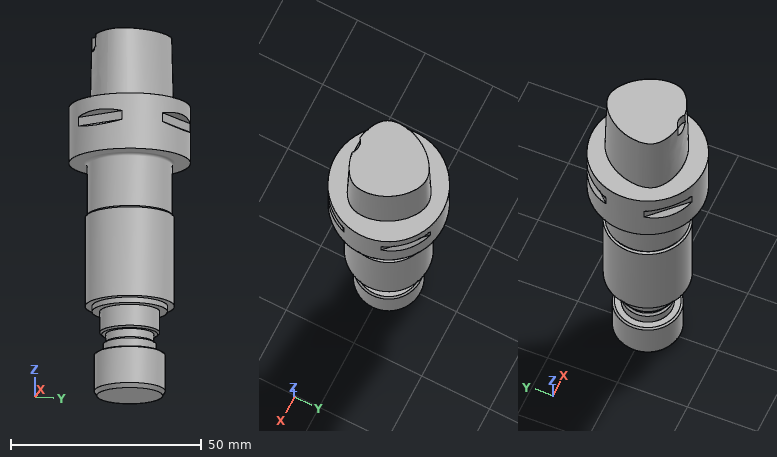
import cadquery as cq
import math


SHANK_HEIGHT = 19.0
SHANK_BASE_WIDTH = 22.0
SHANK_TAPER = 1 / 20
SHANK_TOP_WIDTH = SHANK_BASE_WIDTH - SHANK_TAPER * SHANK_HEIGHT
LOBE_OFFSET = 0.7
LOBE_ANGLES = (90, 210, 330)
LOBE_HALF_SPAN = 24.0
LOBE_TO_FLANK = 60.0
FLANK_HALF_SPAN = LOBE_TO_FLANK - LOBE_HALF_SPAN
POINTS_PER_STRETCH = 9

NOTCH_RADIUS = 3.4
NOTCH_FLOOR_Y = -8.8
NOTCH_DEPTH = 3.25
NOTCH_CONE_SLOPE = 40.0

FLANGE_DIAMETER = 32.0
FLANGE_HEIGHT = 15.0
SLOT_Z = -5.93
SLOT_FLOOR_RADIUS = 14.48
SLOT_FLOOR_WIDTH = 2.35
SLOT_SIDE_ANGLE = 30.0
SLOT_ANGLES = (45, 135, 225, 315)

NECK_DIAMETER = 22.45
NECK_BOTTOM = -29.8
NECK_FILLET = 0.8
NECK_CHAMFER = 0.5
BODY_DIAMETER = 23.5
BODY_BOTTOM = -53.8
COLLAR_DIAMETER = 19.9
COLLAR_BOTTOM = -55.25
SPINDLE_DIAMETER = 15.77
SPINDLE_BOTTOM = -61.4
SPINDLE_CHAMFER = 0.5
GROOVE_DIAMETER = 12.7
GROOVE_BOTTOM = -63.6
LIP_DIAMETER = 13.99
LIP_CHAMFER = (LIP_DIAMETER - GROOVE_DIAMETER) / 2
LIP_CHAMFER_HEIGHT = 0.5
LIP_BOTTOM = -66.7

NUT_DIAMETER = 18.7
NUT_BOTTOM = -78.0
NUT_TOP_CHAMFER_HEIGHT = 0.35
NUT_TOP_CHAMFER = 0.6
NUT_BOTTOM_CHAMFER_HEIGHT = 1.2
NUT_BOTTOM_CHAMFER_ANGLE = 30.0
NUT_BOTTOM_CHAMFER = NUT_BOTTOM_CHAMFER_HEIGHT * math.tan(math.radians(NUT_BOTTOM_CHAMFER_ANGLE))


def polygon_point(width, normal_angle, z):
    """Point of the constant-width trilobe whose outward normal has the given angle."""
    angle = math.radians(normal_angle)
    lobe_phase = 3 * (angle - math.radians(LOBE_ANGLES[0]))
    reach = width / 2 + LOBE_OFFSET * math.cos(lobe_phase)
    slide = -3 * LOBE_OFFSET * math.sin(lobe_phase)
    x = reach * math.cos(angle) - slide * math.sin(angle)
    y = reach * math.sin(angle) + slide * math.cos(angle)
    return cq.Vector(x, y, z)


def polygon_stretch(width, center_angle, half_span, z):
    """Smooth edge of the trilobe, symmetric about one normal direction."""
    step = 2 * half_span / (POINTS_PER_STRETCH - 1)
    start = center_angle - half_span
    points = [polygon_point(width, start + i * step, z) for i in range(POINTS_PER_STRETCH)]
    tangents = []
    for normal_angle in (start, center_angle + half_span):
        angle = math.radians(normal_angle)
        tangents.append(cq.Vector(-math.sin(angle), math.cos(angle), 0))
    return cq.Edge.makeSpline(points, tangents=tangents)


def polygon_wire(width, z):
    """Closed trilobe outline: each lobe is followed by the flank next to it."""
    edges = []
    for lobe_angle in LOBE_ANGLES:
        edges.append(polygon_stretch(width, lobe_angle, LOBE_HALF_SPAN, z))
        edges.append(polygon_stretch(width, lobe_angle + LOBE_TO_FLANK, FLANK_HALF_SPAN, z))
    return cq.Wire.assembleEdges(edges)


def make_shank():
    base = polygon_wire(SHANK_BASE_WIDTH, 0)
    top = polygon_wire(SHANK_TOP_WIDTH, SHANK_HEIGHT)
    return cq.Workplane(cq.Solid.makeLoft([base, top], True))


def make_notch():
    """Vertical round cutter with a conical lower end."""
    center_y = NOTCH_FLOOR_Y - NOTCH_RADIUS
    shoulder_z = SHANK_HEIGHT - NOTCH_DEPTH
    tip_z = shoulder_z - NOTCH_RADIUS * math.tan(math.radians(NOTCH_CONE_SLOPE))
    half_profile = [
        (0, SHANK_HEIGHT),
        (NOTCH_RADIUS, SHANK_HEIGHT),
        (NOTCH_RADIUS, shoulder_z),
        (0, tip_z),
    ]
    cutter = cq.Workplane("XZ").polyline(half_profile).close().revolve(360, (0, 0, 0), (0, 1, 0))
    return cutter.translate((0, center_y, 0))


def make_turned_body():
    """Flange, stepped body and clamping nut as one revolved half profile."""
    flange = FLANGE_DIAMETER / 2
    neck = NECK_DIAMETER / 2
    body = BODY_DIAMETER / 2
    collar = COLLAR_DIAMETER / 2
    spindle = SPINDLE_DIAMETER / 2
    groove = GROOVE_DIAMETER / 2
    lip = LIP_DIAMETER / 2
    nut = NUT_DIAMETER / 2
    fillet_leg = NECK_FILLET * (1 - math.sqrt(0.5))
    profile = (
        cq.Workplane("XZ")
        .moveTo(0, 0)
        .lineTo(flange, 0)
        .lineTo(flange, -FLANGE_HEIGHT)
        .lineTo(neck + NECK_FILLET, -FLANGE_HEIGHT)
        .threePointArc(
            (neck + fillet_leg, -FLANGE_HEIGHT - fillet_leg),
            (neck, -FLANGE_HEIGHT - NECK_FILLET),
        )
        .lineTo(neck, NECK_BOTTOM + NECK_CHAMFER)
        .lineTo(neck - NECK_CHAMFER, NECK_BOTTOM)
        .lineTo(body, NECK_BOTTOM)
        .lineTo(body, BODY_BOTTOM)
        .lineTo(collar, BODY_BOTTOM)
        .lineTo(collar, COLLAR_BOTTOM)
        .lineTo(spindle, COLLAR_BOTTOM)
        .lineTo(spindle, SPINDLE_BOTTOM + SPINDLE_CHAMFER)
        .lineTo(spindle - SPINDLE_CHAMFER, SPINDLE_BOTTOM)
        .lineTo(groove, SPINDLE_BOTTOM)
        .lineTo(groove, GROOVE_BOTTOM)
        .lineTo(groove + LIP_CHAMFER, GROOVE_BOTTOM - LIP_CHAMFER_HEIGHT)
        .lineTo(lip, LIP_BOTTOM)
        .lineTo(nut - NUT_TOP_CHAMFER, LIP_BOTTOM)
        .lineTo(nut, LIP_BOTTOM - NUT_TOP_CHAMFER_HEIGHT)
        .lineTo(nut, NUT_BOTTOM + NUT_BOTTOM_CHAMFER_HEIGHT)
        .lineTo(nut - NUT_BOTTOM_CHAMFER, NUT_BOTTOM)
        .lineTo(0, NUT_BOTTOM)
        .close()
    )
    return profile.revolve(360, (0, 0, 0), (0, 1, 0))


def make_gripper_slot(angle):
    """Straight flat-bottomed cutter with flared sides, tangent to the flange."""
    outer = FLANGE_DIAMETER / 2
    half_floor = SLOT_FLOOR_WIDTH / 2
    flare = (outer - SLOT_FLOOR_RADIUS) * math.tan(math.radians(SLOT_SIDE_ANGLE))
    half_mouth = half_floor + flare
    section = [
        (SLOT_FLOOR_RADIUS, SLOT_Z - half_floor),
        (outer, SLOT_Z - half_mouth),
        (outer, SLOT_Z + half_mouth),
        (SLOT_FLOOR_RADIUS, SLOT_Z + half_floor),
    ]
    cutter = cq.Workplane("XZ").polyline(section).close().extrude(outer, both=True)
    return cutter.rotate((0, 0, 0), (0, 0, 1), angle)


result = make_turned_body().union(make_shank()).cut(make_notch())
for slot_angle in SLOT_ANGLES:
    result = result.cut(make_gripper_slot(slot_angle))